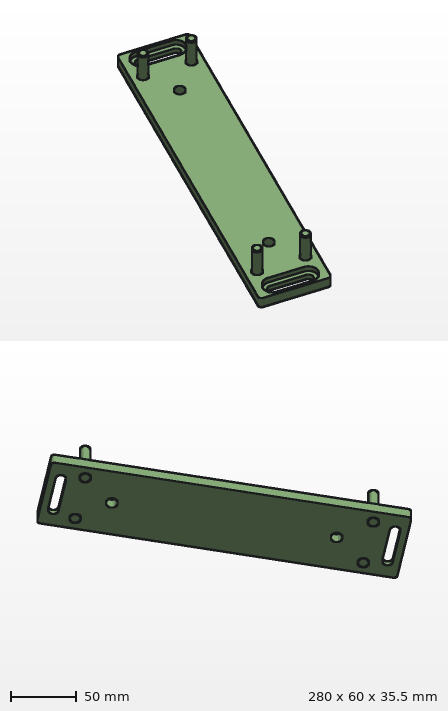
import cadquery as cq

PLATE_LENGTH = 280.0
PLATE_WIDTH = 60.0
PLATE_THICKNESS = 10.0
CORNER_RADIUS = 2.8

SLOT_WIDTH = 8.0
SLOT_ARC_SPACING = 30.0
SLOT_EDGE_OFFSET = 10.0
RECESS_WIDTH = 16.0
RECESS_DEPTH = 5.0
ALONG_Y = 90

HOLE_DIAMETER = 9.0
MOUNTING_HOLE_SPACING = 174.7

PIN_DIAMETER = 8.0
PIN_LENGTH = 35.5
PIN_CHAMFER = 0.8
PIN_SPACING_X = 224.0
PIN_SPACING_Y = 40.0

SLOT_X = PLATE_LENGTH / 2 - SLOT_EDGE_OFFSET
SLOT_POSITIONS = [(-SLOT_X, 0), (SLOT_X, 0)]
MOUNTING_HOLE_POSITIONS = [(-MOUNTING_HOLE_SPACING / 2, 0), (MOUNTING_HOLE_SPACING / 2, 0)]
PIN_POSITIONS = [
    (side_x * PIN_SPACING_X / 2, side_y * PIN_SPACING_Y / 2)
    for side_x in (-1, 1)
    for side_y in (-1, 1)
]


def cut_slots(body, width, depth):
    """Cut a round-ended slot at both plate ends, from the top face down to the given depth."""
    slots = (
        cq.Workplane("XY", origin=(0, 0, PLATE_THICKNESS - depth))
        .pushPoints(SLOT_POSITIONS)
        .slot2D(SLOT_ARC_SPACING + width, width, ALONG_Y)
        .extrude(depth)
    )
    return body.cut(slots)


def make_plate():
    """Rounded plate with stepped end slots, mounting holes and pin holes."""
    body = (
        cq.Workplane("XY")
        .box(PLATE_LENGTH, PLATE_WIDTH, PLATE_THICKNESS, centered=(True, True, False))
        .edges("|Z")
        .fillet(CORNER_RADIUS)
    )
    body = cut_slots(body, RECESS_WIDTH, RECESS_DEPTH)
    body = cut_slots(body, SLOT_WIDTH, PLATE_THICKNESS)
    return (
        body.faces("<Z")
        .workplane(origin=(0, 0, 0))
        .pushPoints(MOUNTING_HOLE_POSITIONS + PIN_POSITIONS)
        .hole(HOLE_DIAMETER)
    )


def make_pin(x, y):
    """Straight round pin with a chamfered upper end."""
    return (
        cq.Workplane("XY", origin=(x, y, 0))
        .circle(PIN_DIAMETER / 2)
        .extrude(PIN_LENGTH)
        .faces(">Z")
        .chamfer(PIN_CHAMFER)
    )


plate = make_plate()
pins = [make_pin(x, y) for x, y in PIN_POSITIONS]

result = cq.Compound.makeCompound([plate.val(), *[pin.val() for pin in pins]])